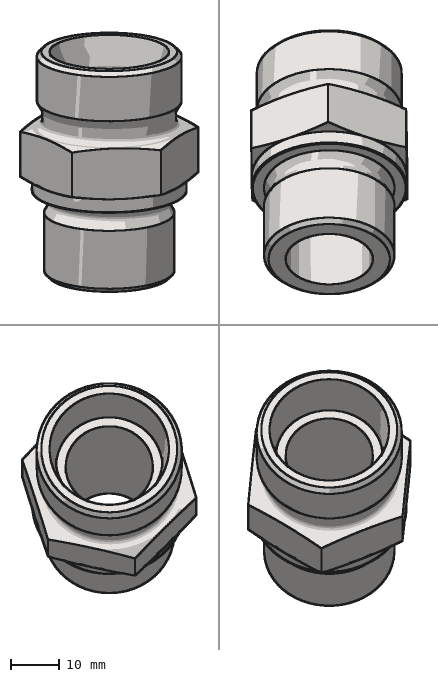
import cadquery as cq
import math

height = 48.0
across_flats = 32.0

relief_angle = math.radians(30)

upper_radius = 30.0 / 2
upper_neck_radius = 27.7 / 2
upper_thread_bottom = 37.5
neck_blend_radius = 0.95
shoulder_fillet = 1.4

hex_top = 31.9
hex_bottom = 21.0
hex_chamfer_angle = 15.0
collar_bottom = 18.0
collar_edge_chamfer = 0.2

lower_radius = 27.0 / 2
groove_arc_radius = 1.35
lower_thread_top = 13.45
end_chamfer = 0.95

bore_radius = 18.0 / 2
socket_radius = 22.0 / 2
socket_depth = 10.0
cone_mouth_radius = 12.35
cone_half_angle = 12.0

collar_radius = across_flats / 2
corner_radius = across_flats / math.sqrt(3)


def make_body():
    """Turned outside shape, from the bottom face up to the top face."""
    neck_top = upper_thread_bottom - (upper_radius - upper_neck_radius) / math.tan(relief_angle)
    blend = neck_blend_radius * math.tan(relief_angle / 2)
    blend_end_radius = upper_neck_radius + blend * math.sin(relief_angle)
    blend_end_z = neck_top + blend * math.cos(relief_angle)
    groove_middle = (lower_thread_top + collar_bottom) / 2
    arc_half_height = groove_arc_radius * math.sin(relief_angle)
    cone_height = (collar_bottom - lower_thread_top) / 2 - arc_half_height
    arc_end_radius = lower_radius - cone_height * math.tan(relief_angle)
    groove_radius = arc_end_radius - groove_arc_radius * (1 - math.cos(relief_angle))
    fillet_z = hex_top + shoulder_fillet
    fillet_mid = shoulder_fillet * (1 - math.sqrt(0.5))
    return (
        cq.Workplane("XZ")
        .moveTo(0, 0)
        .lineTo(lower_radius - end_chamfer, 0)
        .lineTo(lower_radius, end_chamfer)
        .lineTo(lower_radius, lower_thread_top)
        .lineTo(arc_end_radius, groove_middle - arc_half_height)
        .threePointArc(
            (groove_radius, groove_middle),
            (arc_end_radius, groove_middle + arc_half_height),
        )
        .lineTo(lower_radius, collar_bottom)
        .lineTo(collar_radius - collar_edge_chamfer, collar_bottom)
        .lineTo(collar_radius, collar_bottom + collar_edge_chamfer)
        .lineTo(collar_radius, hex_top)
        .lineTo(upper_neck_radius + shoulder_fillet, hex_top)
        .threePointArc(
            (upper_neck_radius + fillet_mid, hex_top + fillet_mid),
            (upper_neck_radius, fillet_z),
        )
        .lineTo(upper_neck_radius, neck_top - blend)
        .tangentArcPoint((blend_end_radius, blend_end_z), relative=False)
        .lineTo(upper_radius, upper_thread_bottom)
        .lineTo(upper_radius, height - end_chamfer)
        .lineTo(upper_radius - end_chamfer, height)
        .lineTo(0, height)
        .close()
        .revolve(360, (0, 0, 0), (0, 1, 0))
    )


def make_hexagon():
    """Hexagon with corners on +Y and -Y, its corners chamfered at both ends."""
    prism = (
        cq.Workplane("XY")
        .workplane(offset=hex_bottom)
        .polygon(6, 2 * corner_radius)
        .extrude(hex_top - hex_bottom)
        .rotate((0, 0, 0), (0, 0, 1), 30)
    )
    corner_drop = (corner_radius - collar_radius) * math.tan(math.radians(hex_chamfer_angle))
    chamfer_envelope = (
        cq.Workplane("XZ")
        .moveTo(0, hex_bottom)
        .lineTo(collar_radius, hex_bottom)
        .lineTo(corner_radius, hex_bottom + corner_drop)
        .lineTo(corner_radius, hex_top - corner_drop)
        .lineTo(collar_radius, hex_top)
        .lineTo(0, hex_top)
        .close()
        .revolve(360, (0, 0, 0), (0, 1, 0))
    )
    return prism.intersect(chamfer_envelope)


def make_bore():
    """Through bore, opening into a socket with a conical mouth at the top."""
    cone_depth = (cone_mouth_radius - socket_radius) / math.tan(math.radians(cone_half_angle))
    return (
        cq.Workplane("XZ")
        .moveTo(0, 0)
        .lineTo(bore_radius, 0)
        .lineTo(bore_radius, height - socket_depth)
        .lineTo(socket_radius, height - socket_depth)
        .lineTo(socket_radius, height - cone_depth)
        .lineTo(cone_mouth_radius, height)
        .lineTo(0, height)
        .close()
        .revolve(360, (0, 0, 0), (0, 1, 0))
    )


result = make_body().union(make_hexagon()).cut(make_bore())